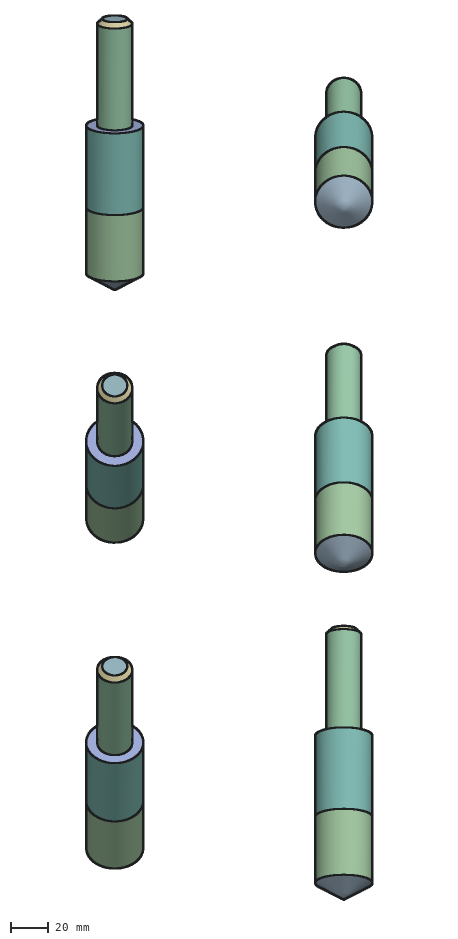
import cadquery as cq

total_height = 152.4
body_diameter = 31.0
shank_diameter = 19.0
tip_height = 9.5
joint_height = 46.6
shoulder_height = 92.5
shank_chamfer = 2.7

body_radius = body_diameter / 2
shank_length = total_height - shoulder_height


def make_tip():
    """Cylinder ending in a cone, revolved about the Z axis."""
    return (
        cq.Workplane("XZ")
        .moveTo(0, 0)
        .lineTo(body_radius, tip_height)
        .lineTo(body_radius, joint_height)
        .lineTo(0, joint_height)
        .close()
        .revolve(360, (0, 0, 0), (0, 1, 0))
    )


def make_holder():
    """Barrel with a narrower shank, chamfered at its free end."""
    barrel = (
        cq.Workplane("XY", origin=(0, 0, joint_height))
        .circle(body_radius)
        .extrude(shoulder_height - joint_height)
    )
    shank = (
        cq.Workplane("XY", origin=(0, 0, shoulder_height))
        .circle(shank_diameter / 2)
        .extrude(shank_length)
        .faces(">Z")
        .chamfer(shank_chamfer)
    )
    return barrel.union(shank)


tip = make_tip()
holder = make_holder()

result = cq.Compound.makeCompound([tip.val(), holder.val()])